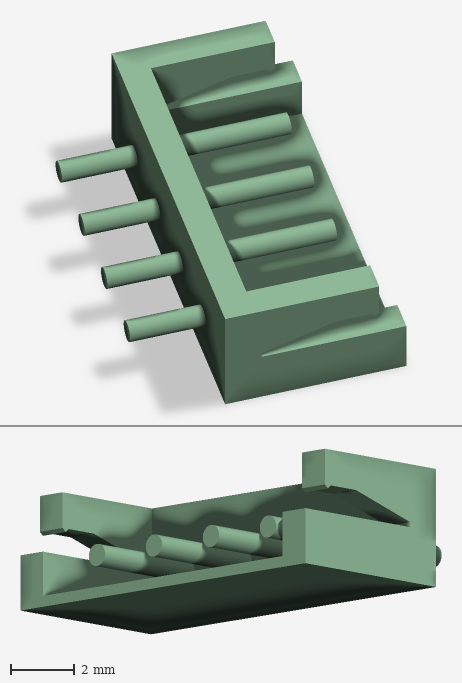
import cadquery as cq

width = 12.5
depth = 6.0
height = 3.8
wall = 1.0
floor_thickness = 0.35

ledge_height = 1.78
upper_arm_end = 5.1
slot_end = 1.2
slot_end_top = 1.94
slot_top = 2.65
ramp_start = 3.68

tooth_depth = 0.11
tooth_half_width = 0.14

pin_count = 4
pin_pitch = 2.5
pin_diameter = 0.71
pin_height = 1.6
pin_tail = 2.5
pin_tip = upper_arm_end


def make_housing():
    """Box with a floor, a rear wall and two side walls."""
    body = cq.Workplane("XY").box(width, depth, height, centered=(True, False, False))
    cavity = (
        cq.Workplane("XY")
        .box(width - 2 * wall, depth - wall, height - floor_thickness, centered=(True, False, False))
        .translate((0, wall, floor_thickness))
    )
    return body.cut(cavity)


def make_latch_slot():
    """Tapered slot and the gap in front of the shorter upper arm, across the full width."""
    tooth_tip = upper_arm_end - tooth_half_width
    profile = [
        (depth, ledge_height),
        (slot_end, ledge_height),
        (slot_end, slot_end_top),
        (ramp_start, slot_top),
        (tooth_tip - tooth_half_width, slot_top),
        (tooth_tip, slot_top - tooth_depth),
        (upper_arm_end, slot_top),
        (upper_arm_end, height),
        (depth, height),
    ]
    return cq.Workplane("YZ").polyline(profile).close().extrude(width / 2, both=True)


def make_pins():
    """Row of round pins passing through the rear wall."""
    return (
        cq.Workplane("XZ", origin=(0, -pin_tail, pin_height))
        .rarray(pin_pitch, 0.12, pin_count, 1)
        .circle(pin_diameter / 2)
        .extrude(-(pin_tail + pin_tip))
    )


result = make_housing().cut(make_latch_slot()).union(make_pins())